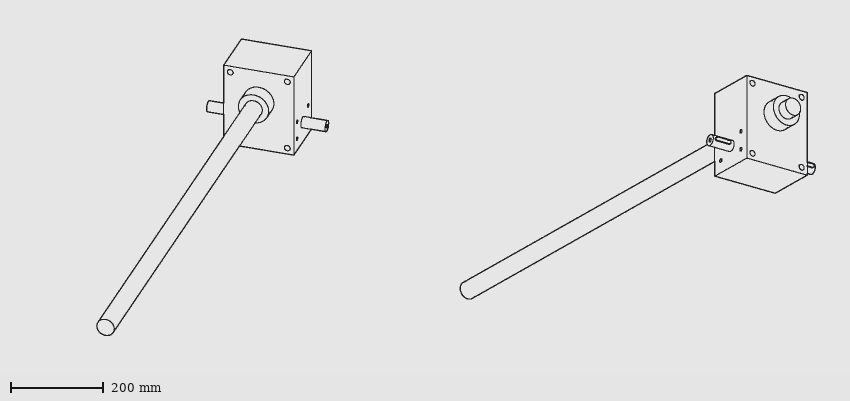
import cadquery as cq


HOUSING_WIDTH = 160.0
HOUSING_DEPTH = 120.0
HOUSING_HEIGHT = 195.0
SCREW_AXIS_HEIGHT = 120.0
HOUSING_BOTTOM = -SCREW_AXIS_HEIGHT
HOUSING_CENTER_Z = HOUSING_BOTTOM + HOUSING_HEIGHT / 2

HUB_DIAMETER = 69.0
HUB_LENGTH = 35.0

MOUNTING_HOLE_DIAMETER = 13.0
MOUNTING_HOLE_INSET = 15.0

TAPPED_HOLE_DIAMETER = 6.65
TAPPED_HOLE_DEPTH = 20.0
TAPPED_HOLE_MOUTH_DIAMETER = 8.0
MOUTH_TAPER = 45.0
MOUTH_CHAMFER = (TAPPED_HOLE_MOUTH_DIAMETER - TAPPED_HOLE_DIAMETER) / 2
SIDE_HOLE_SPACING_Y = 75.0
SIDE_HOLE_SPACING_Z = 42.0

SCREW_DIAMETER = 40.0
SCREW_LENGTH = 1215.0
SCREW_REAR_LENGTH = 25.0
SCREW_REAR_Y = HOUSING_DEPTH / 2 + HUB_LENGTH + SCREW_REAR_LENGTH
SCREW_FRONT_Y = SCREW_REAR_Y - SCREW_LENGTH

SHAFT_DIAMETER = 25.0
SHAFT_LENGTH = 270.0
SHAFT_AXIS_HEIGHT = 50.0
SHAFT_Z = HOUSING_BOTTOM + SHAFT_AXIS_HEIGHT

KEY_LENGTH = 40.0
KEY_WIDTH = 8.0
KEY_PROJECTION = 3.0
KEY_END_GAP = 5.0

SIDES = (-1, 1)


def cylinder_along_y(diameter, start_y, end_y):
    """Round bar on the screw axis."""
    axis_plane = cq.Plane(origin=(0, start_y, 0), xDir=(-1, 0, 0), normal=(0, 1, 0))
    return cq.Workplane(axis_plane).circle(diameter / 2).extrude(end_y - start_y)


def cylinders_along_x(diameter, start_x, length, centers=((0, 0),)):
    """Round bars parallel to the drive shaft, placed in Y and Z relative to its axis."""
    start_plane = cq.Workplane("YZ", origin=(start_x, 0, SHAFT_Z))
    return start_plane.pushPoints(centers).circle(diameter / 2).extrude(length)


def tapped_holes(side, face_x, centers=((0, 0),)):
    """Cutters for tapped holes that run inward from a face on the given side."""
    holes = cylinders_along_x(TAPPED_HOLE_DIAMETER, face_x, -side * TAPPED_HOLE_DEPTH, centers)
    mouth_plane = cq.Workplane("YZ", origin=(face_x, 0, SHAFT_Z)).pushPoints(centers)
    mouths = mouth_plane.circle(TAPPED_HOLE_MOUTH_DIAMETER / 2)
    mouths = mouths.extrude(-side * MOUTH_CHAMFER, taper=MOUTH_TAPER)
    return holes.union(mouths)


def make_housing():
    """Block with two hubs, bores for the screw and the shaft, and its bolt holes."""
    half_width = HOUSING_WIDTH / 2
    half_depth = HOUSING_DEPTH / 2
    housing = cq.Workplane().box(HOUSING_WIDTH, HOUSING_DEPTH, HOUSING_HEIGHT)
    housing = housing.translate((0, 0, HOUSING_CENTER_Z))

    for side in SIDES:
        face_y = side * half_depth
        housing = housing.union(cylinder_along_y(HUB_DIAMETER, face_y, face_y + side * HUB_LENGTH))

    hub_end_y = half_depth + HUB_LENGTH
    housing = housing.cut(cylinder_along_y(SCREW_DIAMETER, -hub_end_y, hub_end_y))
    housing = housing.cut(cylinders_along_x(SHAFT_DIAMETER, -half_width, HOUSING_WIDTH))

    mounting_spacing_x = HOUSING_WIDTH - 2 * MOUNTING_HOLE_INSET
    mounting_spacing_z = HOUSING_HEIGHT - 2 * MOUNTING_HOLE_INSET
    mounting_holes = (
        cq.Workplane("XZ", origin=(0, half_depth, HOUSING_CENTER_Z))
        .rect(mounting_spacing_x, mounting_spacing_z, forConstruction=True)
        .vertices()
        .circle(MOUNTING_HOLE_DIAMETER / 2)
        .extrude(HOUSING_DEPTH)
    )
    housing = housing.cut(mounting_holes)

    side_hole_centers = [
        (y_side * SIDE_HOLE_SPACING_Y / 2, z_side * SIDE_HOLE_SPACING_Z / 2)
        for y_side in SIDES
        for z_side in SIDES
    ]
    for side in SIDES:
        housing = housing.cut(tapped_holes(side, side * half_width, side_hole_centers))
    return housing


def make_drive_shaft():
    """Shaft through the housing with a key and a tapped hole at each end."""
    half_length = SHAFT_LENGTH / 2
    shaft = cylinders_along_x(SHAFT_DIAMETER, -half_length, SHAFT_LENGTH)
    key_outer_y = SHAFT_DIAMETER / 2 + KEY_PROJECTION
    key_center_x = half_length - KEY_END_GAP - KEY_LENGTH / 2
    key_height = KEY_PROJECTION + SHAFT_DIAMETER / 4
    for side in SIDES:
        key = (
            cq.Workplane("XZ", origin=(side * key_center_x, key_outer_y, SHAFT_Z))
            .slot2D(KEY_LENGTH, KEY_WIDTH)
            .extrude(key_height)
        )
        shaft = shaft.union(key)
    for side in SIDES:
        shaft = shaft.cut(tapped_holes(side, side * half_length))
    return shaft


housing = make_housing()
lifting_screw = cylinder_along_y(SCREW_DIAMETER, SCREW_FRONT_Y, SCREW_REAR_Y)
drive_shaft = make_drive_shaft()

result = cq.Compound.makeCompound([housing.val(), lifting_screw.val(), drive_shaft.val()])